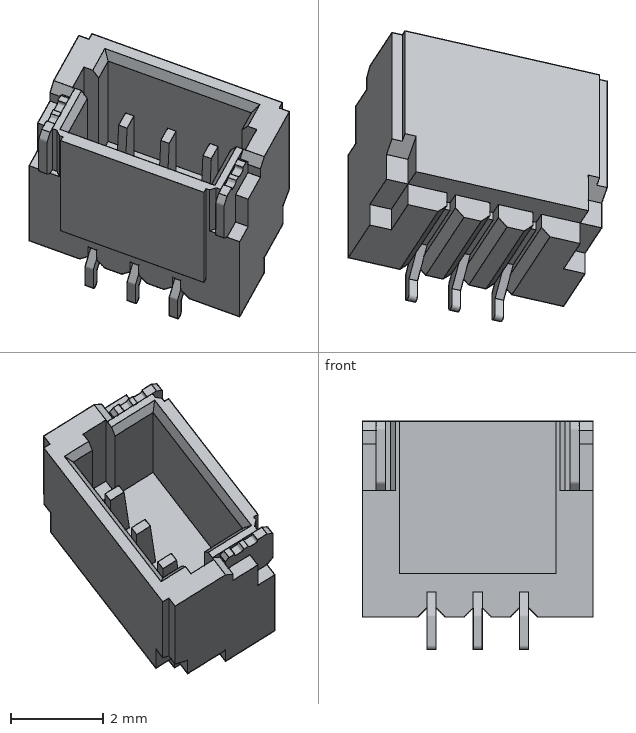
import cadquery as cq


WIDTH = 5.0
DEPTH = 2.79
HEIGHT = 4.25
HALF_WIDTH = WIDTH / 2
REAR_NOTCH_WIDTH = 0.24
REAR_NOTCH_DEPTH = 0.16

STEP_Z = 0.55
FOOT_HALF_WIDTH = 2.0
FOOT_REAR_Y = 2.3
SIDE_STEP_FRONT_Y = 1.3
SLOPE_TOP_Z = 1.5
SLOPE_BOTTOM_Z = 1.21

CAVITY_HALF_WIDTH = 1.7
CAVITY_FRONT_Y = 0.3
CAVITY_REAR_Y = 2.4
CAVITY_FLOOR_Z = 1.1
LEAD_IN = 0.14
LEAD_IN_DEPTH = 0.21
KEY_HALF_WIDTH = 2.05
KEY_FRONT_Y = 1.3
KEY_REAR_Y = 1.9
KEY_BOTTOM_Z = 1.25

PANEL_HALF_WIDTH = CAVITY_HALF_WIDTH
PANEL_THICKNESS = 0.11
PANEL_BOTTOM_Z = 0.95

TAB_INNER_X = 2.0
TAB_THICKNESS = 0.2
TAB_OUTER_X = TAB_INNER_X + TAB_THICKNESS
TAB_FRONT_Y = -0.16
TAB_REAR_Y = 1.1
TAB_BOTTOM_Z = 2.75
TAB_REAR_CHAMFER = 0.1
TAB_BEND_RADIUS = 0.1
SHOULDER_Z = 3.75
SHOULDER_Y = 0.45
POCKET_CHAMFER = 0.2
RELIEF_DEPTH = 0.11
RELIEF_INNER_X = 1.89
GROOVE_FRONT_Y = 0.25
GROOVE_REAR_Y = 0.85
GROOVE_DEPTH = 0.1
GROOVE_FILLET = 0.05
BUMP_HALF_WIDTH = 0.055
BUMP_DROP = 0.04

CONTACT_COUNT = 3
PITCH = 1.0
CONTACT_WIDTH = 0.2
LEG_THICKNESS = 0.2
LEG_FRONT_Y = -0.17
LEG_BOTTOM_Z = -0.7
LEG_TIP_RADIUS = 0.09
BEND_RADIUS = 0.075
SLOPE_FRONT_RISE = 0.21
SLOPE_REAR_RISE = -0.25
ARM_THICKNESS = 0.2
BLADE_FRONT_Y = 1.48
BLADE_REAR_Y = 1.98
BLADE_TOP_Z = 3.0
BLADE_TAPER = 0.14
FLARE = 0.2

CONTACT_XS = [PITCH * (i - (CONTACT_COUNT - 1) / 2) for i in range(CONTACT_COUNT)]


def box(x0, x1, y0, y1, z0, z1):
    """Box between two corners."""
    return cq.Workplane("XY").box(x1 - x0, y1 - y0, z1 - z0, centered=False).translate((x0, y0, z0))


def side_prism(points, x0, x1):
    """Outline of (y, z) points, extruded from x0 to x1."""
    return cq.Workplane("YZ").workplane(offset=x0).polyline(points).close().extrude(x1 - x0)


def both_sides(shape):
    """The shape together with its mirror image across X = 0."""
    return shape.union(shape.mirror("YZ"))


def make_block():
    block = box(-HALF_WIDTH, HALF_WIDTH, 0, DEPTH, 0, HEIGHT)
    panel = box(-PANEL_HALF_WIDTH, PANEL_HALF_WIDTH, -PANEL_THICKNESS, 0, PANEL_BOTTOM_Z, HEIGHT)
    return block.union(panel)


def make_rear_cuts():
    notch = box(HALF_WIDTH - REAR_NOTCH_WIDTH, HALF_WIDTH, DEPTH - REAR_NOTCH_DEPTH, DEPTH, 0, HEIGHT)
    slope_outline = [
        (DEPTH, 0),
        (DEPTH, SLOPE_TOP_Z),
        (FOOT_REAR_Y, SLOPE_BOTTOM_Z),
        (FOOT_REAR_Y, 0),
    ]
    slope = side_prism(slope_outline, FOOT_HALF_WIDTH, HALF_WIDTH)
    side_step = box(FOOT_HALF_WIDTH, HALF_WIDTH, SIDE_STEP_FRONT_Y, DEPTH, 0, STEP_Z)
    rear_step = box(-HALF_WIDTH, HALF_WIDTH, FOOT_REAR_Y, DEPTH, 0, STEP_Z)
    return both_sides(notch.union(slope).union(side_step)).union(rear_step)


def make_cavity():
    width = 2 * CAVITY_HALF_WIDTH
    length = CAVITY_REAR_Y - CAVITY_FRONT_Y
    middle_y = (CAVITY_FRONT_Y + CAVITY_REAR_Y) / 2
    bore = box(-CAVITY_HALF_WIDTH, CAVITY_HALF_WIDTH, CAVITY_FRONT_Y, CAVITY_REAR_Y, CAVITY_FLOOR_Z, HEIGHT)
    mouth = (
        cq.Workplane("XY", origin=(0, middle_y, HEIGHT - LEAD_IN_DEPTH))
        .rect(width, length)
        .workplane(offset=LEAD_IN_DEPTH)
        .rect(width + 2 * LEAD_IN, length + 2 * LEAD_IN)
        .loft(ruled=True)
    )
    keyway = box(-KEY_HALF_WIDTH, KEY_HALF_WIDTH, KEY_FRONT_Y, KEY_REAR_Y, KEY_BOTTOM_Z, HEIGHT)
    return bore.union(mouth).union(keyway)


def make_tab_pockets():
    inner = box(TAB_INNER_X, TAB_OUTER_X, 0, TAB_REAR_Y, TAB_BOTTOM_Z, HEIGHT)
    shoulder_outline = [
        (0, TAB_BOTTOM_Z),
        (SHOULDER_Y, TAB_BOTTOM_Z),
        (SHOULDER_Y, SHOULDER_Z),
        (TAB_REAR_Y, SHOULDER_Z),
        (TAB_REAR_Y, HEIGHT),
        (0, HEIGHT),
    ]
    shoulder = side_prism(shoulder_outline, TAB_OUTER_X, HALF_WIDTH)
    chamfer_outline = [
        (TAB_REAR_Y, HEIGHT - POCKET_CHAMFER),
        (TAB_REAR_Y + POCKET_CHAMFER, HEIGHT),
        (TAB_REAR_Y, HEIGHT),
    ]
    chamfer = side_prism(chamfer_outline, TAB_INNER_X, HALF_WIDTH)
    relief = (
        cq.Workplane("XY", origin=(0, 0, TAB_BOTTOM_Z))
        .moveTo(TAB_INNER_X, 0)
        .lineTo(TAB_INNER_X, RELIEF_DEPTH)
        .lineTo(RELIEF_INNER_X, RELIEF_DEPTH)
        .lineTo(RELIEF_INNER_X - RELIEF_DEPTH, 0)
        .close()
        .extrude(HEIGHT - TAB_BOTTOM_Z)
    )
    return both_sides(inner.union(shoulder).union(chamfer).union(relief))


def make_channel(x):
    """Slot for the contact's leg and arm along the underside, flared at its mouth."""
    half = CONTACT_WIDTH / 2
    slot = box(x - half, x + half, 0, FOOT_REAR_Y, 0, STEP_Z)
    flare = (
        cq.Workplane("XZ")
        .polyline([(x - half - FLARE, 0), (x + half + FLARE, 0), (x + half, FLARE), (x - half, FLARE)])
        .close()
        .extrude(-FOOT_REAR_Y)
    )
    blade_hole = box(x - half, x + half, BLADE_FRONT_Y, BLADE_REAR_Y, STEP_Z, CAVITY_FLOOR_Z)
    return slot.union(flare).union(blade_hole)


def make_housing():
    housing = make_block().cut(make_rear_cuts()).cut(make_cavity()).cut(make_tab_pockets())
    for x in CONTACT_XS:
        housing = housing.cut(make_channel(x))
    return housing


def make_contact(x):
    """Upright blade, horizontal arm, 45-degree slope and solder leg in one strip."""
    leg_rear_y = LEG_FRONT_Y + LEG_THICKNESS
    arm_bottom_z = STEP_Z - ARM_THICKNESS
    outline = [
        (LEG_FRONT_Y, LEG_BOTTOM_Z),
        (LEG_FRONT_Y, LEG_FRONT_Y + SLOPE_FRONT_RISE),
        (STEP_Z - SLOPE_FRONT_RISE, STEP_Z),
        (BLADE_FRONT_Y, STEP_Z),
        (BLADE_FRONT_Y, CAVITY_FLOOR_Z),
        (BLADE_FRONT_Y + BLADE_TAPER, BLADE_TOP_Z),
        (BLADE_REAR_Y, BLADE_TOP_Z),
        (BLADE_REAR_Y, arm_bottom_z),
        (arm_bottom_z - SLOPE_REAR_RISE, arm_bottom_z),
        (leg_rear_y, leg_rear_y + SLOPE_REAR_RISE),
        (leg_rear_y, LEG_BOTTOM_Z),
    ]
    half = CONTACT_WIDTH / 2
    contact = side_prism(outline, x - half, x + half)
    contact = contact.edges("|X and <Z").fillet(LEG_TIP_RADIUS)
    upper_bends = [
        (LEG_FRONT_Y, LEG_FRONT_Y + SLOPE_FRONT_RISE),
        (STEP_Z - SLOPE_FRONT_RISE, STEP_Z),
    ]
    for y, z in upper_bends:
        bend = cq.selectors.NearestToPointSelector((x, y, z))
        contact = contact.edges("|X").edges(bend).fillet(BEND_RADIUS)
    return contact


def make_groove():
    """Groove in the tab's top edge, with a low bump in its middle."""
    floor_z = HEIGHT - GROOVE_DEPTH
    bump_z = HEIGHT - BUMP_DROP
    bump_rise = bump_z - floor_z
    middle_y = (GROOVE_FRONT_Y + GROOVE_REAR_Y) / 2
    outline = [
        (GROOVE_FRONT_Y, HEIGHT),
        (GROOVE_FRONT_Y, floor_z),
        (middle_y - BUMP_HALF_WIDTH - bump_rise, floor_z),
        (middle_y - BUMP_HALF_WIDTH, bump_z),
        (middle_y + BUMP_HALF_WIDTH, bump_z),
        (middle_y + BUMP_HALF_WIDTH + bump_rise, floor_z),
        (GROOVE_REAR_Y, floor_z),
        (GROOVE_REAR_Y, HEIGHT),
    ]
    groove = side_prism(outline, TAB_INNER_X, TAB_OUTER_X)
    floor_edges = cq.selectors.BoxSelector(
        (TAB_INNER_X, 0, TAB_BOTTOM_Z),
        (TAB_OUTER_X, TAB_REAR_Y, floor_z + bump_rise / 2),
    )
    return groove.edges("|X").edges(floor_edges).fillet(GROOVE_FILLET)


def make_tab():
    """Solder tab on the +X side."""
    outline = [
        (0, TAB_BOTTOM_Z),
        (TAB_FRONT_Y, TAB_BOTTOM_Z - TAB_FRONT_Y),
        (TAB_FRONT_Y, HEIGHT + TAB_FRONT_Y),
        (0, HEIGHT),
        (TAB_REAR_Y - TAB_REAR_CHAMFER, HEIGHT),
        (TAB_REAR_Y, HEIGHT - TAB_REAR_CHAMFER),
        (TAB_REAR_Y, TAB_BOTTOM_Z),
    ]
    tab = side_prism(outline, TAB_INNER_X, TAB_OUTER_X)
    tab = tab.faces("<Y").edges("|X").fillet(TAB_BEND_RADIUS)
    return tab.cut(make_groove())


housing = make_housing()
contacts = [make_contact(x) for x in CONTACT_XS]
right_tab = make_tab()
tabs = [right_tab, right_tab.mirror("YZ")]

result = cq.Compound.makeCompound([
    housing.val(),
    *[contact.val() for contact in contacts],
    *[tab.val() for tab in tabs],
])